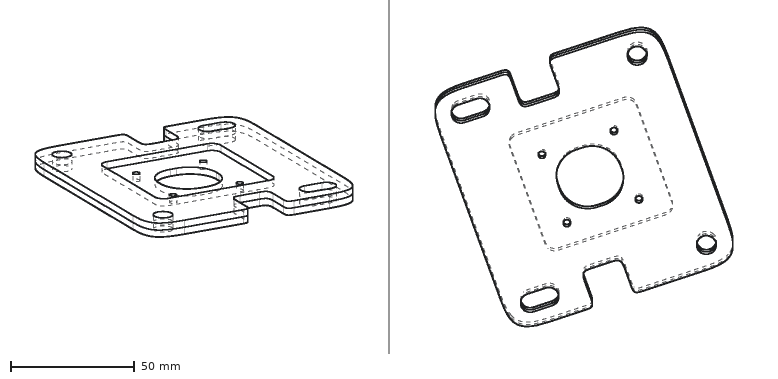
import cadquery as cq

plate_length = 106.0
plate_width = 97.8
stack_height = 6.0
plate_thickness = stack_height / 2
corner_leg = 15.4

notch_depth = 16.0
notch_width = 17.2
notch_center_y = 5.5
notch_mouth_leg = 3.2
notch_root_leg = 4.0

corner_fullness = 0.8

mount_hole_diameter = 8.0
mount_spacing_x = 85.6
round_hole_y = -37.7
slot_center_y = 33.9
slot_length = 16.0

screw_center_y = -2.8
window_length = 52.0
window_width = 54.5
window_center_y = -2.9
window_corner_radius = 4.0
opening_length = 26.0
opening_width = 26.7
opening_center_y = -2.5
opening_corner_radius = 12.0
screw_hole_diameter = 3.0
screw_spacing = 31.0


def toward(start, end, distance):
    """Point at the given distance from start on the straight line to end."""
    direction = cq.Vector(*end) - cq.Vector(*start)
    point = cq.Vector(*start) + direction.normalized() * distance
    return (point.x, point.y)


def smooth_polygon(corners):
    """Closed outline whose corners, given as (point, leg), are rounded by smooth curves.

    Each curve leaves the straight sides at a distance of one leg from the sharp corner.
    """
    curves = []
    for index, (corner, leg) in enumerate(corners):
        before = corners[index - 1][0]
        after = corners[(index + 1) % len(corners)][0]
        handle_leg = leg * (1 - corner_fullness)
        curves.append([
            toward(corner, before, leg),
            toward(corner, before, handle_leg),
            toward(corner, after, handle_leg),
            toward(corner, after, leg),
        ])
    outline = cq.Workplane("XY").moveTo(*curves[-1][-1])
    for curve in curves:
        outline = outline.lineTo(*curve[0]).bezier(curve[1:], includeCurrent=True)
    return outline.close()


def plate_corners():
    """Corners of the plate outline, counterclockwise from the +X -Y corner."""
    side_x = plate_length / 2
    end_y = plate_width / 2
    root_x = side_x - notch_depth
    notch_low_y = notch_center_y - notch_width / 2
    notch_high_y = notch_center_y + notch_width / 2
    right_half = [
        ((side_x, -end_y), corner_leg),
        ((side_x, notch_low_y), notch_mouth_leg),
        ((root_x, notch_low_y), notch_root_leg),
        ((root_x, notch_high_y), notch_root_leg),
        ((side_x, notch_high_y), notch_mouth_leg),
        ((side_x, end_y), corner_leg),
    ]
    left_half = [((-x, y), leg) for (x, y), leg in reversed(right_half)]
    return right_half + left_half


def plate_blank():
    """Notched plate with its mounting holes and slots, standing on Z = 0."""
    mount_xs = (-mount_spacing_x / 2, mount_spacing_x / 2)
    round_holes = (
        cq.Workplane("XY")
        .pushPoints([(x, round_hole_y) for x in mount_xs])
        .circle(mount_hole_diameter / 2)
        .extrude(plate_thickness)
    )
    slots = (
        cq.Workplane("XY")
        .pushPoints([(x, slot_center_y) for x in mount_xs])
        .slot2D(slot_length, mount_hole_diameter, 90)
        .extrude(plate_thickness)
    )
    blank = smooth_polygon(plate_corners()).extrude(plate_thickness)
    return blank.cut(round_holes).cut(slots)


def rounded_block(length, width, center_y, radius):
    """Block one plate thick with rounded vertical edges, for cutting through a plate."""
    block = cq.Workplane("XY").center(0, center_y).rect(length, width).extrude(plate_thickness)
    return block.edges("|Z").fillet(radius)


def make_lower_plate():
    """Plate that carries the motor: central opening and four screw holes."""
    opening = rounded_block(opening_length, opening_width, opening_center_y, opening_corner_radius)
    screw_holes = (
        cq.Workplane("XY")
        .center(0, screw_center_y)
        .rect(screw_spacing, screw_spacing, forConstruction=True)
        .vertices()
        .circle(screw_hole_diameter / 2)
        .extrude(plate_thickness)
    )
    return plate_blank().cut(opening).cut(screw_holes)


def make_upper_plate():
    """Plate with the large window, lying on the lower plate."""
    window = rounded_block(window_length, window_width, window_center_y, window_corner_radius)
    return plate_blank().cut(window).translate((0, 0, plate_thickness))


lower_plate = make_lower_plate()
upper_plate = make_upper_plate()

result = cq.Compound.makeCompound([lower_plate.val(), upper_plate.val()])